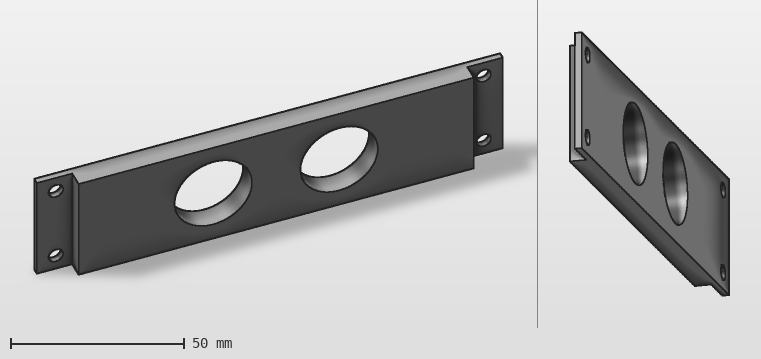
import cadquery as cq

plate_length = 144.8
height = 35.0
plate_thickness = 2.0

total_depth = 7.0
block_length = 122.8

port_diameter = 24.0
port_spacing = 39.1
screw_diameter = 4.5
screw_spacing_y = 132.9
screw_spacing_z = 24.9


def block_from_front(depth, length):
    """Full-height block, centred in Y and Z, reaching back from the X = 0 face."""
    return cq.Workplane("XY").box(depth, length, height, centered=(False, True, True))


def through_holes(diameter, centers):
    """Cylinders along X, at the given (Y, Z) centers, spanning the full depth."""
    return cq.Workplane("YZ").pushPoints(centers).circle(diameter / 2).extrude(total_depth)


port_centers = [(side * port_spacing / 2, 0) for side in (-1, 1)]
screw_centers = [
    (side_y * screw_spacing_y / 2, side_z * screw_spacing_z / 2)
    for side_y in (-1, 1)
    for side_z in (-1, 1)
]

plate = block_from_front(plate_thickness, plate_length)
central_block = block_from_front(total_depth, block_length)

result = (
    plate.union(central_block)
    .cut(through_holes(port_diameter, port_centers))
    .cut(through_holes(screw_diameter, screw_centers))
)